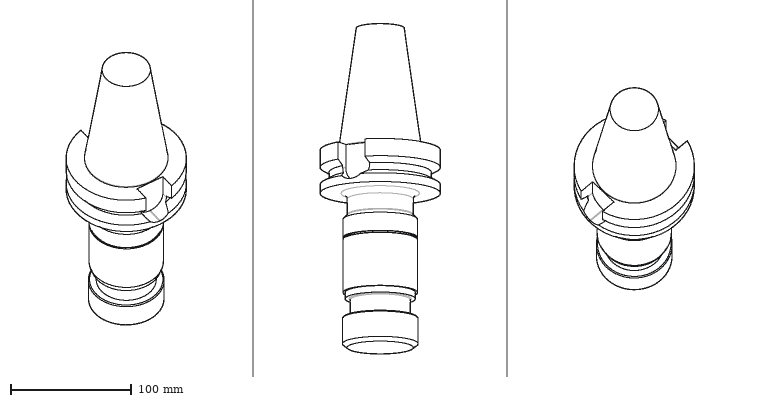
import cadquery as cq
import math

TOTAL_LENGTH = 270.4

GAUGE_DIAMETER = 69.85
SHANK_LENGTH = 101.8
TAPER_RATIO = 7 / 24
SMALL_END_DIAMETER = GAUGE_DIAMETER - TAPER_RATIO * SHANK_LENGTH
LARGE_END_DIAMETER = 69.4
SHANK_LAND_LENGTH = 0.8

FLANGE_DIAMETER = 100
FLANGE_TOP = -1.5
FLANGE_BOTTOM = -38
UPPER_RIM_LENGTH = 14.6
LOWER_RIM_LENGTH = 7.4
GROOVE_DIAMETER = 85
GROOVE_FLANK_LENGTH = 4.2

SLOT_WIDTH = 25.7
SLOT_CORNER_RADIUS = 12.5
SLOT_FLOOR_OFFSET = 35.3
SLOT_BOTTOM = -34

NECK_DIAMETER = 55
NECK_FILLET = 5
BODY_DIAMETER = 62
SHOULDER_BOTTOM = -60.1
SHOULDER_HEIGHT = (BODY_DIAMETER - NECK_DIAMETER) / 2
SHOULDER_FILLET = 1
RING_GROOVE_DIAMETER = 59.4
RING_GROOVE_TOP = -75.5
RING_GROOVE_WIDTH = 1.5
BODY_BOTTOM = -122
COLLAR_DIAMETER = 58.4
COLLAR_BOTTOM = -127.4

STEM_DIAMETER = 50
STEM_FILLET = 0.8
NUT_DIAMETER = 63
NUT_TOP = -143
NUT_BOTTOM = SHANK_LENGTH - TOTAL_LENGTH
NUT_FACE_DIAMETER = 55
NUT_CHAMFER_LENGTH = 3.2
NUT_TOP_CHAMFER = 1


def line_through(outline, steps):
    """Continue the half outline with straight lines through (diameter, height) points."""
    for diameter, height in steps:
        outline = outline.lineTo(diameter / 2, height)
    return outline


def add_shank(outline):
    """Taper from the small end, with a short cylindrical land above the flange."""
    return line_through(
        outline,
        [
            (SMALL_END_DIAMETER, SHANK_LENGTH),
            (LARGE_END_DIAMETER, FLANGE_TOP + SHANK_LAND_LENGTH),
            (LARGE_END_DIAMETER, FLANGE_TOP),
        ],
    )


def add_flange(outline):
    """Two rims with the trapezoidal gripper groove between them."""
    groove_top = FLANGE_TOP - UPPER_RIM_LENGTH
    groove_bottom = FLANGE_BOTTOM + LOWER_RIM_LENGTH
    return line_through(
        outline,
        [
            (FLANGE_DIAMETER, FLANGE_TOP),
            (FLANGE_DIAMETER, groove_top),
            (GROOVE_DIAMETER, groove_top - GROOVE_FLANK_LENGTH),
            (GROOVE_DIAMETER, groove_bottom + GROOVE_FLANK_LENGTH),
            (FLANGE_DIAMETER, groove_bottom),
            (FLANGE_DIAMETER, FLANGE_BOTTOM),
        ],
    )


def add_neck(outline):
    """Neck with a fillet under the flange and one blending into the conical shoulder."""
    neck_radius = NECK_DIAMETER / 2
    neck_bottom = SHOULDER_BOTTOM + SHOULDER_HEIGHT
    shoulder_angle = math.radians(45)
    tangent_length = SHOULDER_FILLET * math.tan(shoulder_angle / 2)
    blend_end = (
        neck_radius + tangent_length * math.sin(shoulder_angle),
        neck_bottom - tangent_length * math.cos(shoulder_angle),
    )
    return (
        outline.lineTo(neck_radius + NECK_FILLET, FLANGE_BOTTOM)
        .radiusArc((neck_radius, FLANGE_BOTTOM - NECK_FILLET), -NECK_FILLET)
        .lineTo(neck_radius, neck_bottom + tangent_length)
        .radiusArc(blend_end, -SHOULDER_FILLET)
    )


def add_chuck(outline):
    """Chuck body with its ring groove, and the narrower collar below."""
    groove_bottom = RING_GROOVE_TOP - RING_GROOVE_WIDTH
    return line_through(
        outline,
        [
            (BODY_DIAMETER, SHOULDER_BOTTOM),
            (BODY_DIAMETER, RING_GROOVE_TOP),
            (RING_GROOVE_DIAMETER, RING_GROOVE_TOP),
            (RING_GROOVE_DIAMETER, groove_bottom),
            (BODY_DIAMETER, groove_bottom),
            (BODY_DIAMETER, BODY_BOTTOM),
            (COLLAR_DIAMETER, BODY_BOTTOM),
            (COLLAR_DIAMETER, COLLAR_BOTTOM),
        ],
    )


def add_stem_and_nut(outline):
    """Stem filleted under the collar, then the nut chamfered at both ends."""
    stem_radius = STEM_DIAMETER / 2
    outline = outline.lineTo(stem_radius + STEM_FILLET, COLLAR_BOTTOM)
    outline = outline.radiusArc((stem_radius, COLLAR_BOTTOM - STEM_FILLET), -STEM_FILLET)
    return line_through(
        outline,
        [
            (STEM_DIAMETER, NUT_TOP),
            (NUT_DIAMETER - 2 * NUT_TOP_CHAMFER, NUT_TOP),
            (NUT_DIAMETER, NUT_TOP - NUT_TOP_CHAMFER),
            (NUT_DIAMETER, NUT_BOTTOM + NUT_CHAMFER_LENGTH),
            (NUT_FACE_DIAMETER, NUT_BOTTOM),
            (0, NUT_BOTTOM),
        ],
    )


def make_body():
    """Revolve the outline of all the round stretches about the Z axis."""
    outline = cq.Workplane("XZ").moveTo(0, SHANK_LENGTH)
    for add_stretch in (add_shank, add_flange, add_neck, add_chuck, add_stem_and_nut):
        outline = add_stretch(outline)
    return outline.close().revolve(360, (0, 0, 0), (0, 1, 0))


def make_drive_slot(side):
    """Round-bottomed slot cutter, open at the top and rim of the flange; side is +1 or -1."""
    half_width = SLOT_WIDTH / 2
    depth = FLANGE_DIAMETER / 2 - SLOT_FLOOR_OFFSET
    half_flat = half_width - SLOT_CORNER_RADIUS
    arc_top = SLOT_BOTTOM + SLOT_CORNER_RADIUS
    return (
        cq.Workplane("YZ", origin=(side * SLOT_FLOOR_OFFSET, 0, 0))
        .moveTo(-half_width, FLANGE_TOP)
        .lineTo(-half_width, arc_top)
        .radiusArc((-half_flat, SLOT_BOTTOM), -SLOT_CORNER_RADIUS)
        .lineTo(half_flat, SLOT_BOTTOM)
        .radiusArc((half_width, arc_top), -SLOT_CORNER_RADIUS)
        .lineTo(half_width, FLANGE_TOP)
        .close()
        .extrude(side * depth)
    )


result = make_body()
for side in (-1, 1):
    result = result.cut(make_drive_slot(side))